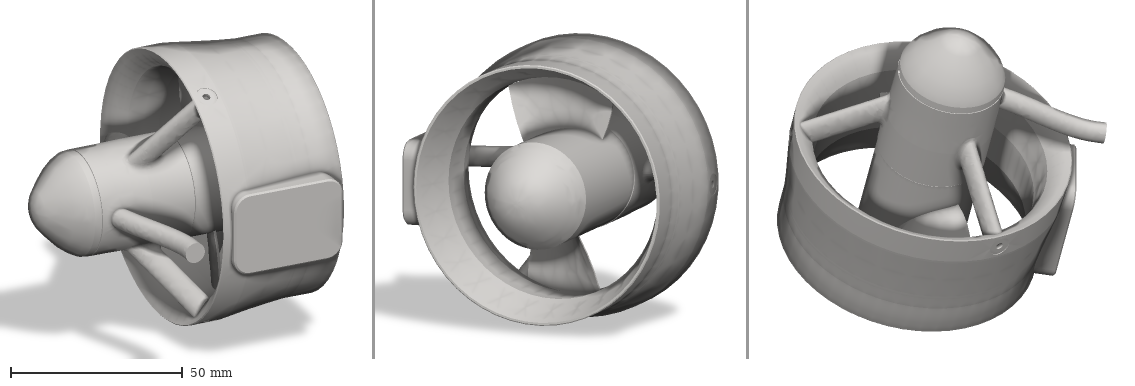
import math

import cadquery as cq


INLET_RADIUS = 41.22
SKIRT_END_Y = 8.6
SLOPE_START_RADIUS = 41.13
SLOPE_START_Y = 9.4
SLOPE_END_RADIUS = 39.05
SLOPE_END_Y = 25.2
WAIST_RADIUS = 38.92
WAIST_Y = 26.4
OUTLET_RADIUS = 38.5
BAND_Y = 30.6
OUTLET_Y = 40.4
RIM_CHAMFER = 0.3
THROAT_RADIUS = 32.75
THROAT_START_Y = 15.0
THROAT_END_Y = 27.0
BELL_RADIUS = 34.9
BELL_Y = 5.6
BELL_MIDDLE_RADIUS = 37.5
BELL_MIDDLE_Y = 2.4
OUTLET_BORE_RADIUS = 37.6

POD_RADIUS = 15.85
POD_WAIST_RADIUS = 16.07
STRUT_RING_Y = -10.6
POD_FRONT_Y = -26.9
POD_BACK_Y = 3.1
HUB_END_Y = 41.2
NOSE_BAND_Y = -29.1
NOSE_BAND_RADIUS = 15.6
NOSE_TIP_Y = -42.11
TAIL_TIP_Y = 55.7
CAP_MIDDLE = 0.65
NOSE_FULLNESS = 0.58
TAIL_FULLNESS = 0.635
NOSE_BASE_DIRECTION = (0.35, 1)
TAIL_BASE_DIRECTION = (-0.4, 1)
SEAM_WIDTH = 0.3
SEAM_DEPTH = 0.25
NOTCH_DIAMETER = 2.3
NOTCH_OFFSET = 2.3
NOTCH_DEPTH = 0.6

BLADE_COUNT = 2
BLADE_ROOT_RADIUS = 16.4
BLADE_TIP_RADIUS = 32.55
BLADE_BURIED_RADIUS = 13.5
BLADE_THICKNESS = 0.8
LEADING_ROOT_ANGLE = -37.6
LEADING_TIP_ANGLE = -24.4
TRAILING_ROOT_ANGLE = 32.4
TRAILING_TIP_ANGLE = 25.9
LEADING_Y = 12.0
TRAILING_ROOT_Y = 28.0
TRAILING_TIP_Y = 25.7
ROOT_CURVE_POWER = 2.8
TIP_CURVE_POWER = 1.7
BLADE_TOLERANCE = 0.01
CHORD_STEPS = 10
SPAN_STEPS = 8

STRUT_ANGLES = (60, 180, 300)
STRUT_WIDTH = 5.2
STRUT_SLOPE = 0.70
STRUT_AXIAL_DEPTH = 9.3
STRUT_AXIS_Y_AT_POD = -10.15
STRUT_POD_RADIUS = 16.8
STRUT_START_RADIUS = 12.0
STRUT_END_RADIUS = 40.0
STRUT_FILLET = 1.5
SCREW_Y = 4.5
SCREW_DIAMETER = 6.4
SCREW_FLAT_RADIUS = 41.0
SOCKET_DIAMETER = 2.3
SOCKET_DEPTH = 1.2

PAD_FACE_X = 43.06
PAD_BACK_X = 35.0
PAD_SEAT_RADIUS = 38.2
PAD_WIDTH = 25.2
PAD_START_Y = 2.7
PAD_END_Y = 37.75
PAD_CORNER_RADIUS = 5.0
PAD_CHAMFER = 0.5

CABLE_DIAMETER = 6.2
CABLE_START_X = 10.0
CABLE_START_Y = -21.9
CABLE_START_DIRECTION = (1, 0.1, 0)
CABLE_POD_Y = -20.9
CABLE_END_X = 48.33
CABLE_END_Y = -12.7
CABLE_END_STRAIGHT = 4.0

CUT_CLEARANCE = 1.0


def revolve_about_y(profile):
    """Turn a closed (radius, Y) outline about the thrust axis."""
    return profile.close().revolve(360, (0, 0, 0), (0, 1, 0))


def make_duct():
    profile = (
        cq.Workplane("XY")
        .moveTo(THROAT_RADIUS, THROAT_END_Y)
        .lineTo(THROAT_RADIUS, THROAT_START_Y)
        .lineTo(BELL_RADIUS, BELL_Y)
        .threePointArc((BELL_MIDDLE_RADIUS, BELL_MIDDLE_Y), (INLET_RADIUS - RIM_CHAMFER, 0))
        .lineTo(INLET_RADIUS, RIM_CHAMFER)
        .lineTo(INLET_RADIUS, SKIRT_END_Y)
        .lineTo(SLOPE_START_RADIUS, SLOPE_START_Y)
        .lineTo(SLOPE_END_RADIUS, SLOPE_END_Y)
        .lineTo(WAIST_RADIUS, WAIST_Y)
        .lineTo(OUTLET_RADIUS, BAND_Y)
        .lineTo(OUTLET_RADIUS, OUTLET_Y - RIM_CHAMFER)
        .lineTo(OUTLET_RADIUS - RIM_CHAMFER, OUTLET_Y)
        .lineTo(OUTLET_BORE_RADIUS, OUTLET_Y)
    )
    return revolve_about_y(profile)


def make_pod():
    nose_length = NOSE_BAND_Y - NOSE_TIP_Y
    tail_length = TAIL_TIP_Y - HUB_END_Y
    nose_middle = (NOSE_FULLNESS * NOSE_BAND_RADIUS, NOSE_BAND_Y - CAP_MIDDLE * nose_length)
    tail_middle = (TAIL_FULLNESS * POD_RADIUS, HUB_END_Y + CAP_MIDDLE * tail_length)
    profile = (
        cq.Workplane("XY")
        .moveTo(0, NOSE_TIP_Y)
        .spline(
            [nose_middle, (NOSE_BAND_RADIUS, NOSE_BAND_Y)],
            tangents=[(1, 0), NOSE_BASE_DIRECTION],
            includeCurrent=True,
        )
        .lineTo(POD_RADIUS, POD_FRONT_Y)
        .lineTo(POD_WAIST_RADIUS, STRUT_RING_Y)
        .lineTo(POD_WAIST_RADIUS, POD_BACK_Y)
        .lineTo(POD_RADIUS, POD_BACK_Y)
        .lineTo(POD_RADIUS, HUB_END_Y)
        .spline(
            [tail_middle, (0, TAIL_TIP_Y)],
            tangents=[TAIL_BASE_DIRECTION, (-1, 0)],
            includeCurrent=True,
        )
    )
    return revolve_about_y(profile)


def make_seam(seam_y, radius):
    """Ring that cuts a shallow groove where two parts of the pod meet."""
    return (
        cq.Workplane("XZ", origin=(0, seam_y + SEAM_WIDTH / 2, 0))
        .circle(radius + CUT_CLEARANCE)
        .circle(radius - SEAM_DEPTH)
        .extrude(SEAM_WIDTH)
    )


def make_nose_notches():
    """Half-round notches in the -X side of the nose band, at its seam with the pod."""
    discs = (
        cq.Workplane("YZ", origin=(-POD_RADIUS - CUT_CLEARANCE, 0, 0))
        .pushPoints([(POD_FRONT_Y, -NOTCH_OFFSET), (POD_FRONT_Y, NOTCH_OFFSET)])
        .circle(NOTCH_DIAMETER / 2)
        .extrude(CUT_CLEARANCE + NOTCH_DEPTH)
    )
    nose_side = (
        cq.Workplane("XZ", origin=(0, POD_FRONT_Y, 0))
        .circle(POD_RADIUS + CUT_CLEARANCE)
        .extrude(NOTCH_DIAMETER)
    )
    return discs.intersect(nose_side)


def blade_point(radius, chord_fraction):
    span = (radius - BLADE_ROOT_RADIUS) / (BLADE_TIP_RADIUS - BLADE_ROOT_RADIUS)

    def along_span(root_value, tip_value):
        return root_value + span * (tip_value - root_value)

    leading_angle = along_span(LEADING_ROOT_ANGLE, LEADING_TIP_ANGLE)
    trailing_angle = along_span(TRAILING_ROOT_ANGLE, TRAILING_TIP_ANGLE)
    angle = math.radians(leading_angle + chord_fraction * (trailing_angle - leading_angle))
    curve_power = along_span(ROOT_CURVE_POWER, TIP_CURVE_POWER)
    trailing_y = along_span(TRAILING_ROOT_Y, TRAILING_TIP_Y)
    y = LEADING_Y + chord_fraction**curve_power * (trailing_y - LEADING_Y)
    return cq.Vector(radius * math.sin(angle), y, radius * math.cos(angle))


def make_blade():
    """Twisted blade pointing to +Z, its root buried in the hub."""
    span_length = BLADE_TIP_RADIUS - BLADE_BURIED_RADIUS
    grid = [
        [
            blade_point(BLADE_BURIED_RADIUS + span_length * j / SPAN_STEPS, i / CHORD_STEPS)
            for j in range(SPAN_STEPS + 1)
        ]
        for i in range(CHORD_STEPS + 1)
    ]
    front_face = cq.Face.makeSplineApprox(grid, tol=BLADE_TOLERANCE)
    blade = cq.Solid.extrudeLinear(front_face, cq.Vector(0, BLADE_THICKNESS, 0))
    return cq.Workplane(blade)


def turn_about_y(body, angle):
    """Turn a body from +X towards +Z about the thrust axis."""
    return body.rotate((0, 0, 0), (0, 1, 0), -angle)


def make_strut():
    """Slanted strut along +X with an elliptical section."""
    end_limit = cq.Workplane("XZ").circle(STRUT_END_RADIUS).extrude(STRUT_END_RADIUS, both=True)
    run = STRUT_END_RADIUS - STRUT_START_RADIUS
    start_y = STRUT_AXIS_Y_AT_POD + STRUT_SLOPE * (STRUT_START_RADIUS - STRUT_POD_RADIUS)
    slant_length = run * math.hypot(1, STRUT_SLOPE)
    depth = STRUT_AXIAL_DEPTH / math.hypot(1, STRUT_SLOPE)
    plane = cq.Plane(
        origin=(STRUT_START_RADIUS, start_y, 0),
        xDir=(-STRUT_SLOPE, 1, 0),
        normal=(1, STRUT_SLOPE, 0),
    )
    strut = cq.Workplane(plane).ellipse(depth / 2, STRUT_WIDTH / 2).extrude(slant_length + depth)
    return strut.intersect(end_limit)


def find_strut_roots(body):
    """Edges where the struts meet the pod, leaving out the round ones about the thrust axis."""
    roots = []
    for edge in body.edges().vals():
        middle = edge.positionAt(0.5)
        on_pod = abs(math.hypot(middle.x, middle.z) - POD_WAIST_RADIUS) < STRUT_FILLET / 2
        near_struts = abs(middle.y - STRUT_AXIS_Y_AT_POD) < STRUT_AXIAL_DEPTH
        between_rings = edge.BoundingBox().ymax < POD_BACK_Y - SEAM_WIDTH
        if on_pod and near_struts and between_rings and edge.geomType() != "CIRCLE":
            roots.append(edge)
    return roots


def make_screw_recess():
    """Flat screw seat with a drive socket, on the +X side of the duct."""
    seat_plane = cq.Workplane("YZ", origin=(SCREW_FLAT_RADIUS, SCREW_Y, 0))
    seat = seat_plane.circle(SCREW_DIAMETER / 2).extrude(CUT_CLEARANCE)
    socket = seat_plane.circle(SOCKET_DIAMETER / 2).extrude(-SOCKET_DEPTH)
    return seat.union(socket)


def make_pad():
    """Rounded block on the +X side, hollowed to end inside the duct wall."""
    length = PAD_END_Y - PAD_START_Y
    block = (
        cq.Workplane("YZ", origin=(PAD_BACK_X, (PAD_START_Y + PAD_END_Y) / 2, 0))
        .rect(length, PAD_WIDTH)
        .extrude(PAD_FACE_X - PAD_BACK_X)
        .edges("|X")
        .fillet(PAD_CORNER_RADIUS)
        .faces(">X")
        .chamfer(PAD_CHAMFER)
    )
    duct_core = cq.Workplane("XZ").circle(PAD_SEAT_RADIUS).extrude(-OUTLET_Y)
    return block.cut(duct_core)


def make_cable():
    """S-shaped cable leaving the pod towards +X."""
    path_points = [
        (POD_RADIUS, CABLE_POD_Y),
        (CABLE_END_X - CABLE_END_STRAIGHT, CABLE_END_Y),
        (CABLE_END_X, CABLE_END_Y),
    ]
    path = (
        cq.Workplane("XY")
        .moveTo(CABLE_START_X, CABLE_START_Y)
        .spline(path_points, tangents=[CABLE_START_DIRECTION, (1, 0, 0)], includeCurrent=True)
    )
    start = cq.Plane(
        origin=(CABLE_START_X, CABLE_START_Y, 0),
        xDir=(0, 0, 1),
        normal=CABLE_START_DIRECTION,
    )
    return cq.Workplane(start).circle(CABLE_DIAMETER / 2).sweep(path)


pod = make_pod()
for angle in STRUT_ANGLES:
    pod = pod.union(turn_about_y(make_strut(), angle))
pod = pod.newObject(find_strut_roots(pod)).fillet(STRUT_FILLET)
pod = pod.cut(make_seam(POD_FRONT_Y, POD_RADIUS))
pod = pod.cut(make_seam(POD_BACK_Y, POD_RADIUS))
pod = pod.cut(make_nose_notches())

duct = make_duct().union(make_pad())
result = pod.union(duct)
for angle in STRUT_ANGLES:
    result = result.cut(turn_about_y(make_screw_recess(), angle))

for index in range(BLADE_COUNT):
    result = result.union(turn_about_y(make_blade(), index * 360 / BLADE_COUNT))
result = result.union(make_cable())